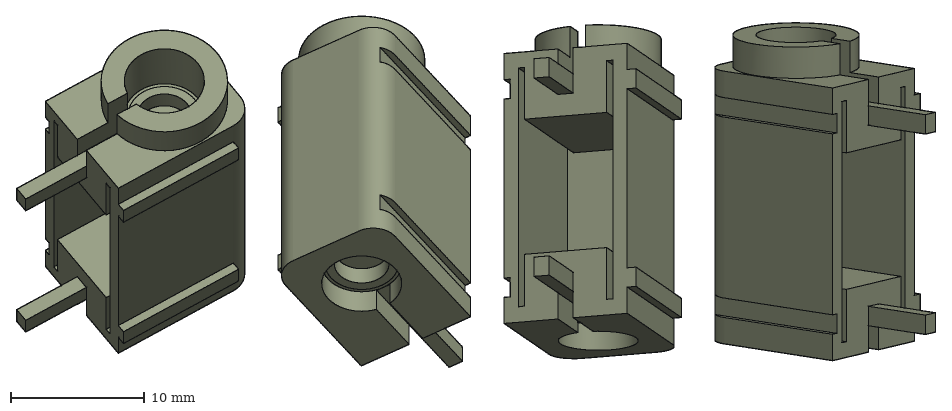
import cadquery as cq

total_height = 23.3
collar_height = 2.4
body_height = total_height - collar_height
body_width = 9.8
body_depth = 12.4
corner_radius = 1.95
back_y = body_width / 2
front_y = back_y - body_depth
collar_radius = 4.75

wall = 1.15
slot_width = 0.5
end_wall = 1.2
block_height = 5.22
cavity_width = body_width - 2 * wall
block_width = cavity_width - 2 * slot_width
cavity_depth = body_depth - wall

pin_inset = 2.03
pin_width = 1.2
pin_height = 1.5
pin_length_outside = 5.5
rail_width = 0.7
groove_depth = 0.5
contact_bottoms = [pin_inset, body_height - pin_inset - pin_height]

bore_radius = 3.0
ring_outer_radius = 2.75
ring_inner_radius = 2.05

lower_bore_end = pin_inset + pin_height
upper_bore_end = body_height - lower_bore_end


def box(x_min, x_max, y_min, y_max, z_min, z_max):
    """Box between two opposite corners."""
    size = (x_max - x_min, y_max - y_min, z_max - z_min)
    return cq.Workplane("XY").box(*size, centered=False).translate((x_min, y_min, z_min))


def cylinder(radius, z_min, z_max):
    """Cylinder on the bore axis."""
    return cq.Workplane("XY").workplane(offset=z_min).circle(radius).extrude(z_max - z_min)


def tube(outer_radius, inner_radius, z_min, height):
    """Hollow cylinder on the bore axis."""
    profile = cq.Workplane("XY").workplane(offset=z_min).circle(outer_radius).circle(inner_radius)
    return profile.extrude(height)


def make_shell():
    """Body with rounded back corners, a round collar and an open front cavity."""
    half_width = body_width / 2
    shell = box(-half_width, half_width, front_y, back_y, 0, body_height)
    shell = shell.edges("|Z and >Y").fillet(corner_radius)
    shell = shell.union(cylinder(collar_radius, body_height, total_height))

    cavity_back = front_y + cavity_depth
    half_cavity = cavity_width / 2
    cavity = box(-half_cavity, half_cavity, front_y, cavity_back, end_wall, body_height - end_wall)
    half_block = block_width / 2
    lower_block = box(-half_block, half_block, front_y, cavity_back, 0, block_height)
    upper_block = lower_block.translate((0, 0, body_height - block_height))
    return shell.cut(cavity.cut(lower_block).cut(upper_block))


def add_rails_and_grooves(shell):
    """Rails on the +X side and matching grooves on the -X side."""
    half_width = body_width / 2
    rail_back = back_y - corner_radius
    for z_min in contact_bottoms:
        z_max = z_min + pin_height
        shell = shell.union(box(half_width, half_width + rail_width, front_y, rail_back, z_min, z_max))
        shell = shell.cut(box(-half_width, groove_depth - half_width, front_y, back_y, z_min, z_max))
    return shell


def cut_bores_and_slits(shell):
    """Blind bores from both ends, each opened to the front by a slit as wide as the pin."""
    half_pin = pin_width / 2
    for z_min, z_max in [(0, lower_bore_end), (upper_bore_end, total_height)]:
        shell = shell.cut(cylinder(bore_radius, z_min, z_max))
        shell = shell.cut(box(-half_pin, half_pin, front_y, 0, z_min, z_max))
    return shell


def make_housing():
    return cut_bores_and_slits(add_rails_and_grooves(make_shell()))


def make_pin(z_min):
    """Rectangular terminal whose inner end is tangent to the contact sleeve."""
    half_pin = pin_width / 2
    pin_tip = front_y - pin_length_outside
    return box(-half_pin, half_pin, pin_tip, -bore_radius, z_min, z_min + pin_height)


def make_sleeve(z_min):
    return tube(bore_radius, ring_outer_radius, z_min, pin_height)


def make_ring(z_min):
    return tube(ring_outer_radius, ring_inner_radius, z_min, pin_height)


bodies = [make_housing().val()]
for contact_bottom in contact_bottoms:
    bodies.append(make_pin(contact_bottom).val())
    bodies.append(make_sleeve(contact_bottom).val())
    bodies.append(make_ring(contact_bottom).val())

result = cq.Compound.makeCompound(bodies)